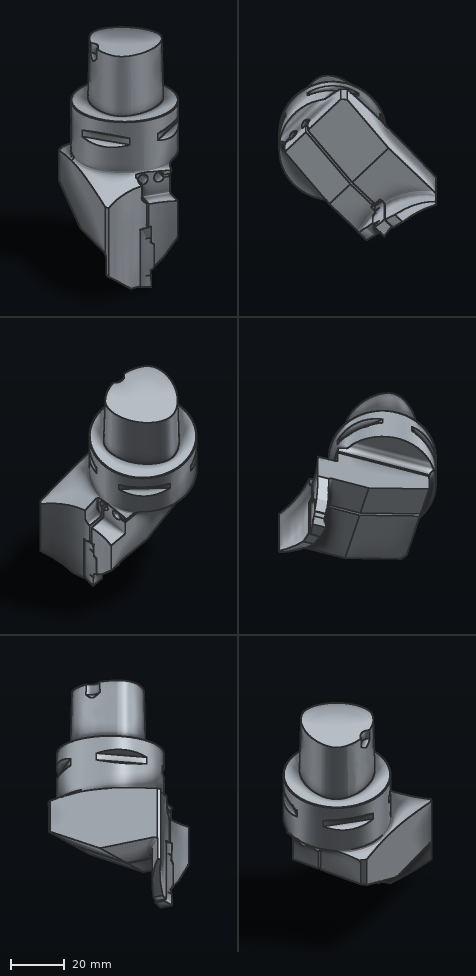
import cadquery as cq
import math


overall_width = 54.2
overall_depth = 41.0

shank_length = 24.0
shank_base_radius = 14.1
shank_taper = 0.025
lobe_height = 0.9
lobe_count = 3
lobe_face_angle = 57.0
points_per_face = 9

keyway_radius = 3.65
keyway_axis_y = -14.4
keyway_depth = 4.0

flange_radius = 40.0 / 2
flange_height = 20.1
flange_chamfer = 0.3

groove_floor_distance = 17.5
groove_floor_width = 2.6
groove_centre_z = -8.1
groove_flank_angle = 30.0
groove_count = 4

head_left_x = -15.1
head_right_x = overall_width - flange_radius
head_front_y = flange_radius - overall_depth
head_rear_y = 10.1
head_bottom_z = -45.3
head_left_bottom_z = -33.9
head_flat_start_x = 8.3
flare_radius = 4.0
cone_angle = 15.0
cone_z = -21.2
neck_radius = 1.2
left_corner_chamfer = 1.7
right_corner_chamfer = 0.9
overrun = 4.45

blade_axis_y = 0.9
concave_radius = 32.9
concave_side_x = 26.7
convex_radius = 26.7
convex_side_x = 22.25
blade_root_radius = 1.4
blade_bottom_z = -63.9
blade_bottom_front_y = -8.7
blade_front_z = -53.85
blade_rear_z = -46.1
jaw_knee_y = 4.8
jaw_knee_z = -53.8
jaw_tip_z = -57.0

jaw_pocket_x = 20.3
jaw_pocket_front_y = -4.1
jaw_pocket_floor_z = -31.15
jaw_pocket_front_rounding = 3.9
jaw_pocket_side_rounding = 1.0

slot_width = 1.0
clamp_slot_y = -1.5
relief_radius = 4.0 / 2
relief_z = -23.85
hinge_hole_y = 5.6
clamp_hole_y = -0.8

insert_lower_z = -65.0
insert_upper_z = -40.5
insert_mid_z = (insert_lower_z + insert_upper_z) / 2
insert_length = insert_upper_z - insert_lower_z
insert_centre_x = 24.5
insert_body_width = 4.1
insert_base_y = -4.7
insert_back_y = 1.25
rake_y = -0.13
end_relief = 0.45
rake_length = 6.5
rake_ramp = 1.1
tip_width = 5.2
tip_length = 4.6
tip_side_relief = 0.15
tip_end_depth = 3.6
tip_root_depth = 1.9
insert_seat_x = 20.3


def lobed_wire(mean_radius, z):
    """Three-lobed outline of constant width, from the support function r + e cos(3t)."""

    def point(angle):
        phase = lobe_count * (angle - math.pi / 2)
        normal = mean_radius + lobe_height * math.cos(phase)
        tangent = -lobe_count * lobe_height * math.sin(phase)
        return cq.Vector(
            normal * math.cos(angle) - tangent * math.sin(angle),
            normal * math.sin(angle) + tangent * math.cos(angle),
            z,
        )

    def face_edge(start, end):
        step = (end - start) / (points_per_face - 1)
        points = [point(start + step * i) for i in range(points_per_face)]
        tangents = [cq.Vector(-math.sin(t), math.cos(t), 0) for t in (start, end)]
        return cq.Edge.makeSpline(points, tangents=tangents)

    lobe_pitch = 2 * math.pi / lobe_count
    half_lobe = math.radians(lobe_face_angle) / 2
    edges = []
    for lobe in range(lobe_count):
        middle = math.pi / 2 + lobe * lobe_pitch
        edges.append(face_edge(middle - half_lobe, middle + half_lobe))
        edges.append(face_edge(middle + half_lobe, middle + lobe_pitch - half_lobe))
    return cq.Wire.assembleEdges(edges)


def make_shank():
    top_radius = shank_base_radius - shank_taper * shank_length
    shank = cq.Workplane(
        cq.Solid.makeLoft([lobed_wire(shank_base_radius, 0), lobed_wire(top_radius, shank_length)], True)
    )
    floor_z = shank_length - keyway_depth
    keyway = (
        cq.Workplane("XZ")
        .polyline([
            (0, shank_length + overrun),
            (keyway_radius, shank_length + overrun),
            (keyway_radius, floor_z),
            (0, floor_z - keyway_radius),
        ])
        .close()
        .revolve(360, (0, 0), (0, 1))
        .translate((0, keyway_axis_y, 0))
    )
    return shank.cut(keyway)


def make_flange():
    flange = cq.Workplane("XY").circle(flange_radius).extrude(-flange_height)
    flange = flange.faces(">Z").edges().chamfer(flange_chamfer)
    depth = flange_radius + overrun - groove_floor_distance
    half_floor = groove_floor_width / 2
    half_mouth = half_floor + depth * math.tan(math.radians(groove_flank_angle))
    groove = (
        cq.Workplane("XZ")
        .polyline([
            (groove_floor_distance, groove_centre_z - half_floor),
            (groove_floor_distance + depth, groove_centre_z - half_mouth),
            (groove_floor_distance + depth, groove_centre_z + half_mouth),
            (groove_floor_distance, groove_centre_z + half_floor),
        ])
        .close()
        .extrude(flange_radius, both=True)
    )
    for i in range(groove_count):
        angle = 360 / groove_count * (i + 0.5)
        flange = flange.cut(groove.rotate((0, 0, 0), (0, 0, 1), angle))
    return flange


def head_cap():
    """Round envelope of the head: the flange cylinder, the neck rounding and the conical top."""
    slope = math.tan(math.radians(cone_angle))
    neck_tangent = neck_radius * math.tan(math.radians((90 - cone_angle) / 2))
    outer_radius = head_right_x - head_front_y
    neck_end_r = flange_radius + neck_tangent * math.cos(math.radians(cone_angle))
    neck_end_z = cone_z - neck_tangent * math.sin(math.radians(cone_angle))
    return (
        cq.Workplane("XZ")
        .moveTo(0, insert_lower_z)
        .lineTo(0, -flange_height)
        .lineTo(flange_radius, -flange_height)
        .lineTo(flange_radius, cone_z + neck_tangent)
        .radiusArc((neck_end_r, neck_end_z), -neck_radius)
        .lineTo(outer_radius, cone_z - slope * (outer_radius - flange_radius))
        .lineTo(outer_radius, insert_lower_z)
        .close()
        .revolve(360, (0, 0), (0, 1))
    )


def arc_cylinder(side_x, radius):
    """Vertical cylinder whose -X side touches side_x."""
    return (
        cq.Workplane("XY", origin=(side_x + radius, blade_axis_y, insert_lower_z))
        .circle(radius)
        .extrude(-insert_lower_z)
    )


def corner_cut(x, y, size):
    """Triangular prism that takes a 45 degree chamfer off the vertical corner at (x, y)."""
    inward = math.copysign(1, -x)
    return (
        cq.Workplane("XY", origin=(0, 0, insert_lower_z))
        .polyline([
            (x + inward * (size + overrun), y - overrun),
            (x - inward * overrun, y - overrun),
            (x - inward * overrun, y + size + overrun),
        ])
        .close()
        .extrude(-insert_lower_z)
    )


def make_head_block():
    flare_z = -flange_height - flare_radius
    side_profile = (
        cq.Workplane("XZ", origin=(0, head_front_y, 0))
        .moveTo(head_left_x, head_left_bottom_z)
        .lineTo(head_left_x, flare_z)
        .radiusArc((head_left_x - flare_radius, -flange_height), -flare_radius)
        .lineTo(head_right_x, -flange_height)
        .lineTo(head_right_x, head_bottom_z)
        .lineTo(head_flat_start_x, head_bottom_z)
        .close()
        .extrude(-2 * flange_radius)
    )
    end_profile = (
        cq.Workplane("YZ", origin=(-flange_radius, 0, 0))
        .moveTo(head_front_y, head_bottom_z)
        .lineTo(head_front_y, -flange_height)
        .lineTo(head_rear_y + flare_radius, -flange_height)
        .radiusArc((head_rear_y, flare_z), -flare_radius)
        .lineTo(head_rear_y, head_bottom_z)
        .close()
        .extrude(flange_radius + head_right_x)
    )
    return side_profile.intersect(end_profile).intersect(head_cap())


def make_blade_block():
    """Curved support that reaches down on both sides of the insert."""
    profile = (
        cq.Workplane("YZ", origin=(convex_side_x, 0, 0))
        .polyline([
            (head_front_y, head_bottom_z),
            (head_front_y, blade_front_z),
            (blade_bottom_front_y, blade_bottom_z),
            (insert_base_y, blade_bottom_z),
            (insert_base_y, jaw_tip_z),
            (insert_back_y, jaw_tip_z),
            (jaw_knee_y, jaw_knee_z),
            (head_rear_y, blade_rear_z),
            (head_rear_y, head_bottom_z),
        ])
        .close()
        .extrude(head_right_x - convex_side_x)
    )
    return profile.intersect(arc_cylinder(convex_side_x, convex_radius))


def blade_root():
    """Hollow rounding between the convex side of the blade and the bottom of the head."""
    axis_x = convex_side_x + convex_radius
    ring = (
        cq.Workplane("XZ")
        .moveTo(convex_radius, head_bottom_z)
        .lineTo(convex_radius + blade_root_radius, head_bottom_z)
        .radiusArc((convex_radius, head_bottom_z - blade_root_radius), -blade_root_radius)
        .close()
        .revolve(360, (0, 0), (0, 1))
        .translate((axis_x, blade_axis_y, 0))
    )
    limits = cq.Workplane("XY").box(
        head_right_x, head_rear_y - head_front_y, -insert_lower_z, centered=False
    ).translate((0, head_front_y, insert_lower_z))
    return ring.intersect(limits)


def jaw_pocket():
    """Open corner pocket with a rounded foot along its two walls."""
    pocket = cq.Workplane("XY").box(
        head_right_x, flange_radius - jaw_pocket_front_y, -jaw_pocket_floor_z, centered=False
    ).translate((jaw_pocket_x, jaw_pocket_front_y, jaw_pocket_floor_z))
    pocket = pocket.edges("<Y and <Z").fillet(jaw_pocket_front_rounding)
    return pocket.edges("<X exc (>Y or >Z)").fillet(jaw_pocket_side_rounding)


def clamp_cutouts():
    """Relief holes with the hinge slot and the clamping slot that start from them."""
    length = head_right_x - head_left_x + 2 * flare_radius
    start_x = head_left_x - flare_radius
    holes = (
        cq.Workplane("YZ", origin=(start_x, 0, 0))
        .pushPoints([(hinge_hole_y, relief_z), (clamp_hole_y, relief_z)])
        .circle(relief_radius)
        .extrude(length)
    )
    hinge_slot = cq.Workplane("XY").box(
        length, flange_radius - hinge_hole_y, slot_width, centered=(False, False, True)
    ).translate((start_x, hinge_hole_y, relief_z))
    slot_bottom_z = head_bottom_z - blade_root_radius
    clamp_slot = cq.Workplane("XY").box(
        length, slot_width, relief_z - slot_bottom_z, centered=(False, True, False)
    ).translate((start_x, clamp_slot_y, slot_bottom_z))
    return holes.union(hinge_slot).union(clamp_slot)


def insert_prism(start_x, end_x):
    """Side outline of the insert, the same at both ends, run from start_x to end_x."""
    half = insert_length / 2
    lower_end = [
        (insert_base_y, end_relief - half),
        (rake_y, -half),
        (rake_y, rake_length - half),
        (insert_back_y, rake_length + rake_ramp - half),
    ]
    upper_end = [(y, -z) for y, z in reversed(lower_end)]
    return (
        cq.Workplane("YZ", origin=(start_x, 0, insert_mid_z))
        .polyline(lower_end + upper_end)
        .close()
        .extrude(end_x - start_x)
    )


def tip_section(depth, z):
    """Trapezoid across one cutting tip, widest at the rake and as wide as the body at its foot."""
    half_body = insert_body_width / 2
    half_rake = half_body + tip_side_relief * depth
    return cq.Wire.makePolygon(
        [
            cq.Vector(insert_centre_x - half_rake, rake_y, z),
            cq.Vector(insert_centre_x + half_rake, rake_y, z),
            cq.Vector(insert_centre_x + half_body, rake_y - depth, z),
            cq.Vector(insert_centre_x - half_body, rake_y - depth, z),
        ],
        close=True,
    )


def make_insert():
    half_body = insert_body_width / 2
    body = insert_prism(insert_centre_x - half_body, insert_centre_x + half_body)
    envelope = insert_prism(insert_centre_x - tip_width, insert_centre_x + tip_width)
    for end_z, inward in ((insert_lower_z, 1), (insert_upper_z, -1)):
        tip = cq.Solid.makeLoft(
            [tip_section(tip_end_depth, end_z), tip_section(tip_root_depth, end_z + inward * tip_length)],
            True,
        )
        body = body.union(cq.Workplane(tip).intersect(envelope))
    return body


def make_holder():
    head = make_head_block().union(make_blade_block()).union(blade_root())
    head = head.cut(arc_cylinder(concave_side_x, concave_radius))
    head = head.cut(corner_cut(head_left_x, head_front_y, left_corner_chamfer))
    head = head.cut(corner_cut(head_right_x, head_front_y, right_corner_chamfer))
    head = head.cut(jaw_pocket())
    head = head.cut(clamp_cutouts())
    head = head.cut(insert_prism(insert_seat_x, head_right_x))
    return make_shank().union(make_flange()).union(head)


holder = make_holder()
insert = make_insert()
result = cq.Compound.makeCompound([holder.val(), insert.val()])